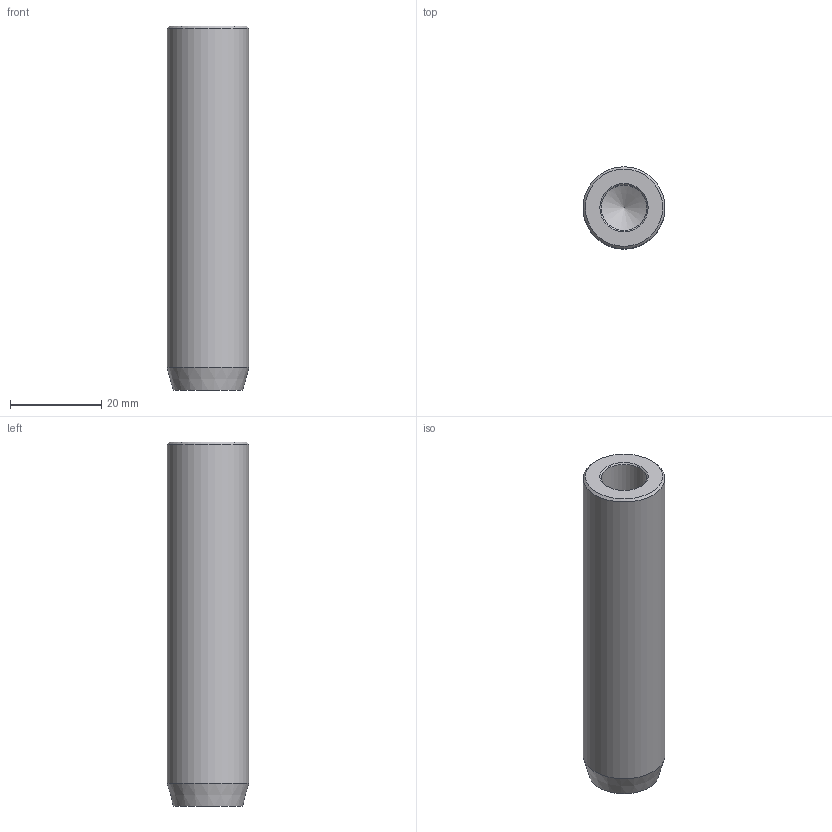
import cadquery as cq
import math

pin_diameter = 18.0
pin_length = 80.0
lead_in_length = 5.0
lead_in_angle = 15.0
top_chamfer = 0.5
bore_diameter = 10.0
bore_chamfer = 0.3
bore_depth = 30.0
drill_point_angle = 118.0

pin_radius = pin_diameter / 2
tip_radius = pin_radius - lead_in_length * math.tan(math.radians(lead_in_angle))
bore_radius = bore_diameter / 2
bore_floor_z = pin_length - bore_depth
drill_tip_z = bore_floor_z - bore_radius / math.tan(math.radians(drill_point_angle / 2))


def revolve_about_z(profile):
    """Revolve a closed (radius, z) profile about the Z axis."""
    return cq.Workplane("XZ").polyline(profile).close().revolve(360, (0, 0), (0, 1))


def pin_body():
    """Cylindrical pin with a tapered lower end and a chamfered top edge."""
    return revolve_about_z([
        (0, 0),
        (tip_radius, 0),
        (pin_radius, lead_in_length),
        (pin_radius, pin_length - top_chamfer),
        (pin_radius - top_chamfer, pin_length),
        (0, pin_length),
    ])


def blind_bore():
    """Drilled hole from the top with a conical bottom and a chamfered mouth."""
    return revolve_about_z([
        (0, drill_tip_z),
        (bore_radius, bore_floor_z),
        (bore_radius, pin_length - bore_chamfer),
        (bore_radius + bore_chamfer, pin_length),
        (0, pin_length),
    ])


result = pin_body().cut(blind_bore())